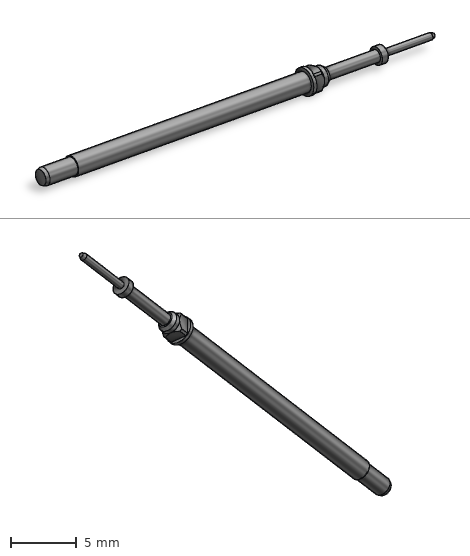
import cadquery as cq

length = 38.0
y_tip = length / 2
y_end = -length / 2

tail_diameter = 1.52
barrel_diameter = 1.7
flange_diameter = 2.3
neck_diameter = 1.3
plunger_diameter = 1.03
ring_diameter = 1.52
pin_diameter = 0.6

tail_length = 3.0
barrel_length = 22.5
flange_thickness = 0.3
square_length = 1.0
collar_length = 0.38
plunger_length = 4.98
ring_thickness = 0.57
pin_length = 4.98

square_corner_diameter = 2.2
square_across_flats = barrel_diameter

end_chamfer_length = 0.3
end_chamfer_depth = 0.1

y_barrel = y_end + tail_length
y_flange = y_barrel + barrel_length
y_square = y_flange + flange_thickness
y_collar = y_square + square_length
y_ring_front = y_tip - pin_length
y_ring = y_ring_front - ring_thickness
y_plunger = y_ring - plunger_length


def cylinder(diameter, y_start, y_stop):
    """Round section on the Y axis between two stations."""
    start_plane = cq.Plane(origin=(0, y_start, 0), xDir=(1, 0, 0), normal=(0, 1, 0))
    return cq.Workplane(start_plane).circle(diameter / 2).extrude(y_stop - y_start)


def cone(diameter_start, y_start, diameter_stop, y_stop):
    """Tapered section on the Y axis between two stations."""
    profile = [
        (0, y_start),
        (diameter_start / 2, y_start),
        (diameter_stop / 2, y_stop),
        (0, y_stop),
    ]
    return cq.Workplane("XY").polyline(profile).close().revolve(360, (0, 0, 0), (0, 1, 0))


def square_drive():
    """Square section whose rounded corners end in a 45 degree cone at the collar."""
    corner_cone = (square_corner_diameter - square_across_flats) / 2
    blank = cylinder(square_corner_diameter, y_square, y_collar).faces(">Y").chamfer(corner_cone)
    flats = cq.Workplane("XY").box(square_across_flats, length, square_across_flats)
    return blank.intersect(flats)


def collar():
    """Short round in front of the square, tapering to the neck where the plunger emerges."""
    y_taper = y_collar + collar_length
    taper = cone(barrel_diameter, y_taper, neck_diameter, y_plunger)
    return cylinder(barrel_diameter, y_collar, y_taper).union(taper)


def tail():
    """Rear section of the barrel with a chamfered end."""
    y_chamfer = y_end + end_chamfer_length
    chamfer = cone(tail_diameter - 2 * end_chamfer_depth, y_end, tail_diameter, y_chamfer)
    return cylinder(tail_diameter, y_chamfer, y_barrel).union(chamfer)


def pin():
    """Slender front pin with a chamfered tip."""
    y_chamfer = y_tip - end_chamfer_length
    chamfer = cone(pin_diameter, y_chamfer, pin_diameter - 2 * end_chamfer_depth, y_tip)
    return cylinder(pin_diameter, y_ring_front, y_chamfer).union(chamfer)


barrel = cylinder(barrel_diameter, y_barrel, y_flange)
flange = cylinder(flange_diameter, y_flange, y_square)
plunger = cylinder(plunger_diameter, y_plunger, y_ring)
ring = cylinder(ring_diameter, y_ring, y_ring_front)

result = tail()
for section in (barrel, flange, square_drive(), collar(), plunger, ring, pin()):
    result = result.union(section)